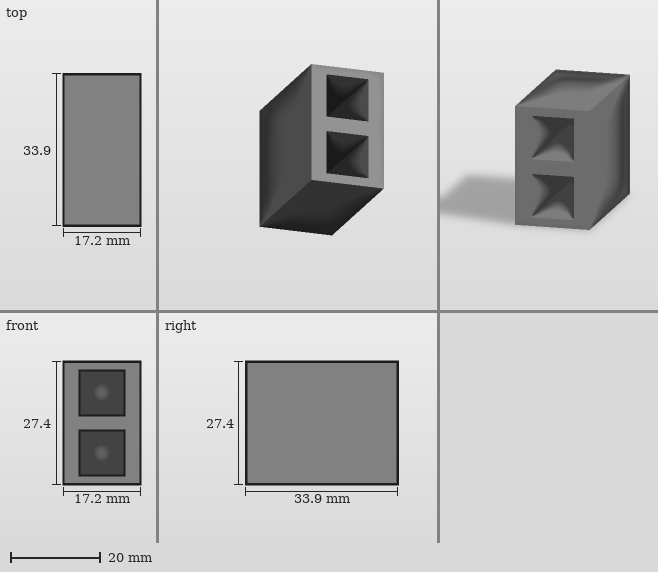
import cadquery as cq

width = 17.25
length = 33.9
height = 27.45

pocket_side = 10.0
pocket_pitch = 13.43
end_wall = (height - pocket_pitch - pocket_side) / 2
back_wall = end_wall
pocket_depth = length - back_wall


def make_pocket(center_z):
    """Square pocket running from the -Y face towards the closed back wall."""
    return (
        cq.Workplane("XY")
        .box(pocket_side, pocket_depth, pocket_side)
        .translate((0, (pocket_depth - length) / 2, center_z))
    )


result = cq.Workplane("XY").box(width, length, height)
for side in (-1, 1):
    result = result.cut(make_pocket(side * pocket_pitch / 2))